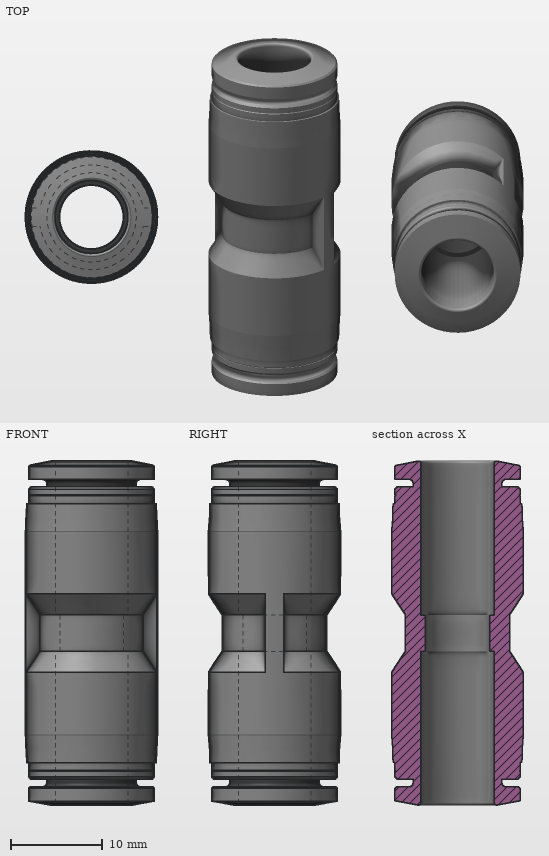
import cadquery as cq


length = 37.8
half_length = length / 2
body_radius = 14.5 / 2

passage_radius = 7.0 / 2
socket_radius = 8.0 / 2
mouth_rounding = 0.3

ring_radius = 13.8 / 2
ring_crown_height = 0.48
ring_bevel = 0.18
ring_thickness = 2.05
neck_radius = 9.8 / 2
neck_fillet = 0.45
neck_gap = 0.8

collar_radius = ring_radius
collar_chamfer = 0.28
collar_height = 0.9
lip_chamfer = 0.1
lip_height = 0.95
shoulder_radius = 7.1
shoulder_height = 3.05

waist_radius = 5.75
waist_half_length = 2.0
waist_taper_height = 2.3
rib_width = 2.0

rim_z = half_length - ring_crown_height
ring_base_z = half_length - ring_thickness
collar_top_z = ring_base_z - neck_gap
lip_top_z = collar_top_z - collar_height
shoulder_top_z = lip_top_z - lip_height
shoulder_base_z = shoulder_top_z - shoulder_height
waist_end_z = waist_half_length + waist_taper_height
socket_floor_z = waist_half_length

crown_inner_radius = socket_radius + mouth_rounding
arc_middle = 0.5 ** 0.5


def revolve_about_z(section):
    """Turn a closed section, drawn as radius against height, fully about Z."""
    return section.close().revolve(360, (0, 0, 0), (0, 1, 0))


def make_end(rim_bevel, base_bevel):
    """Solid end above the body: shoulder, lip, collar, neck and release ring.

    The bevels apply to the ring's outer edge and to its edge facing the collar.
    """
    fillet_radius = neck_radius + neck_fillet
    fillet_z = ring_base_z - neck_fillet
    section = (
        cq.Workplane("XZ")
        .moveTo(0, shoulder_base_z)
        .lineTo(body_radius, shoulder_base_z)
        .lineTo(shoulder_radius, shoulder_top_z)
        .lineTo(collar_radius, shoulder_top_z)
        .lineTo(collar_radius, lip_top_z - lip_chamfer)
        .lineTo(collar_radius - lip_chamfer, lip_top_z)
        .lineTo(collar_radius, lip_top_z)
        .lineTo(collar_radius, collar_top_z - collar_chamfer)
        .lineTo(collar_radius - collar_chamfer, collar_top_z)
        .lineTo(neck_radius, collar_top_z)
        .lineTo(neck_radius, fillet_z)
        .threePointArc(
            (fillet_radius - neck_fillet * arc_middle, fillet_z + neck_fillet * arc_middle),
            (fillet_radius, ring_base_z),
        )
        .lineTo(ring_radius - base_bevel, ring_base_z)
    )
    if base_bevel > 0:
        section = section.lineTo(ring_radius, ring_base_z + base_bevel)
    section = section.lineTo(ring_radius, rim_z - rim_bevel)
    if rim_bevel > 0:
        section = section.lineTo(ring_radius - rim_bevel, rim_z)
    section = section.lineTo(crown_inner_radius, half_length).lineTo(0, half_length)
    return revolve_about_z(section)


def make_body():
    """Plain cylinder between the two tapered shoulders."""
    base = cq.Workplane("XY").workplane(offset=-shoulder_base_z)
    return base.circle(body_radius).extrude(2 * shoulder_base_z)


def make_waist_recess():
    """Ring cutter for the tapered waist, interrupted by the ribs on +X and -X."""
    section = (
        cq.Workplane("XZ")
        .moveTo(waist_radius, -waist_half_length)
        .lineTo(body_radius, -waist_end_z)
        .lineTo(body_radius, waist_end_z)
        .lineTo(waist_radius, waist_half_length)
    )
    ribs = cq.Workplane("XY").box(2 * length, rib_width, length)
    return revolve_about_z(section).cut(ribs)


def make_bore():
    """Cutter for the passage and the two tube sockets with rounded mouths."""
    mouth_z = half_length - mouth_rounding
    arc_radius = crown_inner_radius - mouth_rounding * arc_middle
    arc_z = mouth_z + mouth_rounding * arc_middle
    section = (
        cq.Workplane("XZ")
        .moveTo(0, -half_length)
        .lineTo(crown_inner_radius, -half_length)
        .threePointArc((arc_radius, -arc_z), (socket_radius, -mouth_z))
        .lineTo(socket_radius, -socket_floor_z)
        .lineTo(passage_radius, -socket_floor_z)
        .lineTo(passage_radius, socket_floor_z)
        .lineTo(socket_radius, socket_floor_z)
        .lineTo(socket_radius, mouth_z)
        .threePointArc((arc_radius, arc_z), (crown_inner_radius, half_length))
        .lineTo(0, half_length)
    )
    return revolve_about_z(section)


upper_end = make_end(rim_bevel=ring_bevel, base_bevel=0)
lower_end = make_end(rim_bevel=0, base_bevel=ring_bevel).mirror("XY")
connector = make_body().union(upper_end).union(lower_end)
result = connector.cut(make_waist_recess()).cut(make_bore())